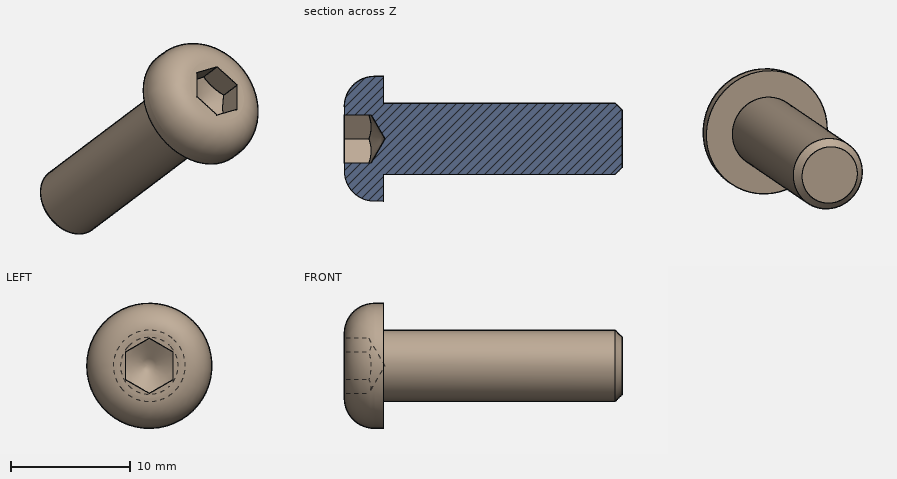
import cadquery as cq
import math

thread_diameter = 6.0
shank_length = 20.0
tip_chamfer = 0.6

head_diameter = 10.5
head_height = 3.3
rim_width = 0.75

hex_across_flats = 4.0
socket_depth = 2.08
socket_cone_angle = 120.0

shank_radius = thread_diameter / 2
head_radius = head_diameter / 2
crown_radius = head_height - rim_width
crown_flat_radius = head_radius - crown_radius
hex_across_corners = hex_across_flats / math.cos(math.pi / 6)


def crown_midpoint():
    """Point halfway along the quarter circle between the front flat and the rim."""
    offset = crown_radius * math.sqrt(0.5)
    return (-rim_width - offset, crown_flat_radius + offset)


def make_body():
    """Head and shank, revolved about X from a half profile of (x, radius) points."""
    profile = (
        cq.Workplane("XY")
        .moveTo(-head_height, 0)
        .lineTo(-head_height, crown_flat_radius)
        .threePointArc(crown_midpoint(), (-rim_width, head_radius))
        .lineTo(0, head_radius)
        .lineTo(0, shank_radius)
        .lineTo(shank_length - tip_chamfer, shank_radius)
        .lineTo(shank_length, shank_radius - tip_chamfer)
        .lineTo(shank_length, 0)
        .close()
    )
    return profile.revolve(360, (0, 0, 0), (1, 0, 0))


def make_socket():
    """Hexagonal prism with corners at +Z and -Z, ending in a cone that meets its corners."""
    cone_radius = hex_across_corners / 2
    cone_depth = cone_radius / math.tan(math.radians(socket_cone_angle / 2))
    socket_floor = -head_height + socket_depth
    prism = (
        cq.Workplane("YZ", origin=(-head_height, 0, 0))
        .transformed(rotate=(0, 0, 90))
        .polygon(6, hex_across_corners)
        .extrude(socket_depth + cone_depth)
    )
    pointed_envelope = (
        cq.Workplane("XY")
        .moveTo(-head_height, 0)
        .lineTo(-head_height, cone_radius)
        .lineTo(socket_floor, cone_radius)
        .lineTo(socket_floor + cone_depth, 0)
        .close()
        .revolve(360, (0, 0, 0), (1, 0, 0))
    )
    return prism.intersect(pointed_envelope)


result = make_body().cut(make_socket())